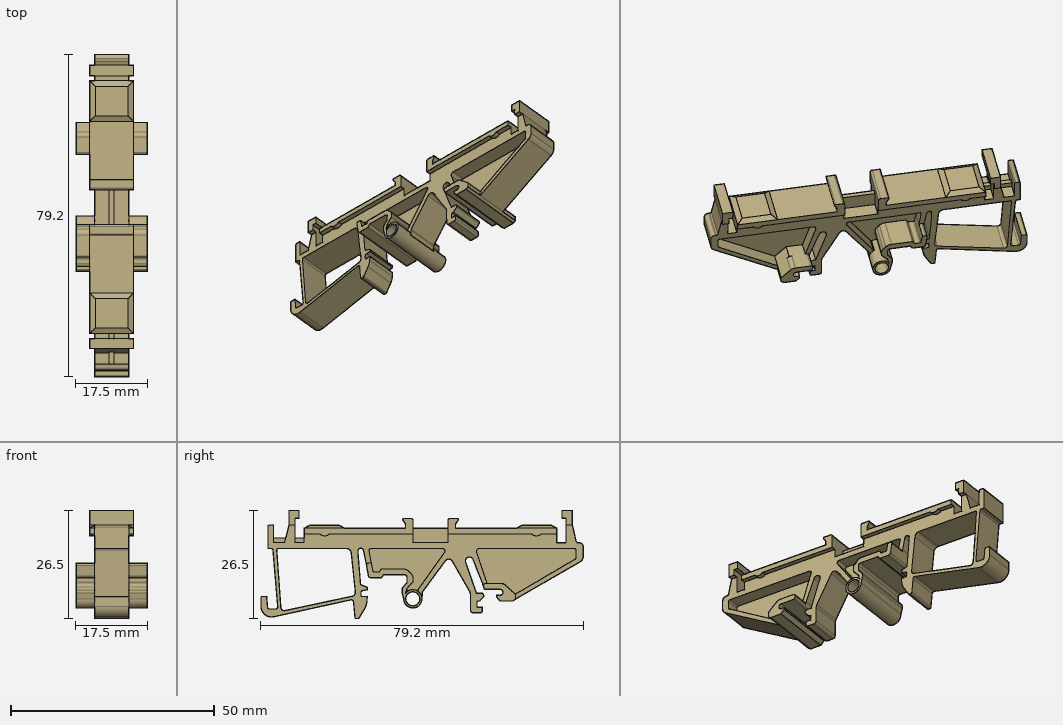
import cadquery as cq
import math


FRAME_WIDTH = 8.4
DECK_WIDTH = 10.8
FOOT_WIDTH = 17.5
WEB_THICKNESS = 1.2

BEAM_TOP = 1.45
LOW_RIB_TOP = 2.65
BAND_BOTTOM = 3.6
DECK_TOP = 5.0
PAD_TOP = 5.75
POST_STEM_TOP = 5.8
HOOK_NECK_TOP = 6.0
HOOK_TOP = 7.4
CATCH_BOTTOM = 7.4
HEAD_TOP = 9.35

GAP_HALF = 4.25
DECK_HALF = 31.05
HOOK_NECK = 6.15
HOOK_NOSE = 7.1
POST_INNER = 33.25
CATCH_REACH = 1.0
HEAD_INNER = POST_INNER - CATCH_REACH
FRONT_HEAD_OUTER = -34.75
REAR_HEAD_OUTER = 34.85
POST_FOOT_OUTER = 35.85
FRONT_WALL_INNER = -38.5
POST_FOOT_FILLET = 0.4
BEAM_FRONT = -39.95
BEAM_REAR = 37.55

PAD_LENGTH = 10.0
PAD_INSET = 1.4
BUMP_Y = 26.0
BUMP_RADIUS = 1.65
BUMP_DROP = 0.5

TUBE_Y = -4.35
TUBE_Z = -12.35
TUBE_OUTER_RADIUS = 2.25
TUBE_BORE_RADIUS = 1.7

REAR_FOOT_SHOULDER = (17.95, -8.61)
REAR_FOOT_HEEL = (20.83, -11.2)
REAR_FOOT_SHOULDER_RADIUS = 1.8

REAR_END = [
    (REAR_HEAD_OUTER, BEAM_TOP),
    (BEAM_REAR, BEAM_TOP, 1.1),
    (BEAM_REAR, -2.8, 1.7),
]
REAR_FOOT_UNDERSIDE = [
    (20.83, -12.45),
    (20.2, -12.92),
    (17.15, -12.92),
    (16.2, -11.95),
    (16.2, -11.45),
    (17.75, -11.45, 0.65),
    (17.75, -10.05, 0.65),
    (13.2, -10.05, 0.3),
    (12.75, -8.61, 0.5),
]
REAR_FOOT_BACK = [
    REAR_FOOT_SHOULDER + (REAR_FOOT_SHOULDER_RADIUS,),
    REAR_FOOT_HEEL,
]
LATCH_SLOT = [
    (10.1, -1.85, 0.9),
    (8.35, -2.5, 0.9),
]
LATCH = [
    (11.3, -10.95),
    (12.85, -10.95, 0.3),
    (13.2, -11.7, 0.3),
    (12.0, -12.92),
    (11.45, -12.92, 0.2),
    (11.45, -14.35),
    (12.75, -14.35),
    (12.75, -15.8, 0.5),
    (9.8, -15.8, 0.7),
    (9.8, -11.2),
    (9.6, -10.55),
]
NOTCH_PEAK = [(4.57, -1.78, 1.0)]
TUBE_JOINT_REAR = [
    (-2.0, -10.7, 0.3),
    (-2.05, TUBE_Z),
]
FRONT_FOOT_UNDERSIDE = [
    (TUBE_Y - TUBE_OUTER_RADIUS, TUBE_Z),
    (-7.0, -10.9),
    (-7.0, -9.75, 1.0),
    (-5.8, -8.35, 0.3),
    (-5.8, -6.45, 0.6),
    (-11.55, -6.45, 0.2),
    (-12.0, -7.18, 0.2),
    (-15.2, -7.18, 0.6),
    (-15.82, -3.6, 0.45),
]
FRONT_FOOT_BACK = [
    (-14.55, -3.6),
    (-14.1, -5.74, 0.3),
    (-12.55, -5.74, 0.2),
    (-12.1, -5.0, 0.2),
    (-5.95, -5.0, 2.0),
    (-4.3, -6.65, 1.4),
    (-4.3, -8.15, 0.3),
    (-5.75, -9.75),
]
FIN_SLOT = [
    (-16.6, 0.05, 0.55),
    (-17.75, 0.05, 0.55),
    (-17.75, -1.5),
]
FIN = [
    (-17.15, -8.85, 0.3),
    (-15.5, -9.5, 0.2),
    (-15.5, -10.15),
    (-17.05, -10.4, 0.5),
    (-17.05, -11.75, 0.3),
    (-15.5, -11.75),
    (-15.65, -13.9, 4.0),
    (-17.6, -17.2, 0.3),
    (-18.55, -17.2, 0.4),
    (-18.98, -12.5, 0.5),
]
FRONT_HOOK = [
    (-41.65, -17.47, 2.65),
    (-41.65, -11.75, 0.3),
    (-40.2, -11.75),
    (-39.95, -14.83, 0.5),
    (-37.5, -14.83, 0.5),
    (-38.75, 0.0, 0.4),
    (BEAM_FRONT, 0.0),
    (BEAM_FRONT, BEAM_TOP),
]
WINDOW = [
    (-19.6, 0.0, 1.2),
    (-37.75, 0.0, 0.4),
    (-36.65, -15.4, 0.8),
    (-18.4, -11.5, 0.9),
]
REAR_POCKET = [
    (11.0, 0.0, 0.7),
    (35.7, 0.0, 0.4),
    (35.7, -2.5, 0.3),
    REAR_FOOT_HEEL,
    REAR_FOOT_SHOULDER,
    (13.9, -8.61),
]
FRONT_POCKET = FRONT_FOOT_BACK + [
    (-5.75, -10.3),
    (-3.2, -10.3),
    (4.1, 0.0, 0.6),
    (-15.2, 0.0, 0.5),
]


def unit(start, end):
    length = math.dist(start, end)
    return ((end[0] - start[0]) / length, (end[1] - start[1]) / length)


def corner_arc(before, corner, after, radius):
    """Start, middle and end of the arc that rounds a corner, tangent to both sides."""
    to_before = unit(corner, before)
    to_after = unit(corner, after)
    cosine = to_before[0] * to_after[0] + to_before[1] * to_after[1]
    half_angle = math.acos(cosine) / 2
    setback = radius / math.tan(half_angle)
    apex_distance = radius / math.sin(half_angle) - radius
    bisector = unit((0, 0), (to_before[0] + to_after[0], to_before[1] + to_after[1]))

    def along(direction, distance):
        return (corner[0] + direction[0] * distance, corner[1] + direction[1] * distance)

    return along(to_before, setback), along(bisector, apex_distance), along(to_after, setback)


def prism(corners, width):
    """Extrude a closed YZ outline symmetrically about X = 0."""
    sketch = None
    for index, corner in enumerate(corners):
        before = corners[index - 1][:2]
        after = corners[(index + 1) % len(corners)][:2]
        arc = None
        start = corner[:2]
        if len(corner) == 3:
            arc = corner_arc(before, corner[:2], after, corner[2])
            start = arc[0]
        sketch = cq.Workplane("YZ").moveTo(*start) if sketch is None else sketch.lineTo(*start)
        if arc:
            sketch = sketch.threePointArc(arc[1], arc[2])
    return sketch.close().extrude(width / 2, both=True)


def bar(y_start, y_end, z_bottom, z_top, width):
    """Rectangular bar centred on X = 0."""
    size = (width, y_end - y_start, z_top - z_bottom)
    return cq.Workplane("XY").box(*size, centered=(True, False, False)).translate((0, y_start, z_bottom))


def rod(y, z, radius, width):
    """Round rod along X."""
    return cq.Workplane("YZ").center(y, z).circle(radius).extrude(width / 2, both=True)


def mirrored(points, side):
    return [(side * point[0],) + tuple(point[1:]) for point in points]


def frame():
    """Beam, rear arm, latch, front arm, fin and window frame as one profile."""
    outline = (
        REAR_END + REAR_FOOT_UNDERSIDE + LATCH_SLOT + LATCH + NOTCH_PEAK + TUBE_JOINT_REAR
        + FRONT_FOOT_UNDERSIDE + FIN_SLOT + FIN + FRONT_HOOK
    )
    return prism(outline, FRAME_WIDTH).cut(prism(WINDOW, FRAME_WIDTH))


def pocketed(body, pocket_outline):
    """Sink a pocket from both sides, leaving the thin web in the middle."""
    pocket = prism(pocket_outline, FRAME_WIDTH)
    web = prism(pocket_outline, WEB_THICKNESS)
    return body.cut(pocket).union(web)


def rear_foot():
    return prism(REAR_FOOT_UNDERSIDE + REAR_FOOT_BACK, FOOT_WIDTH)


def front_foot():
    strip = prism(FRONT_FOOT_UNDERSIDE + FRONT_FOOT_BACK, FOOT_WIDTH)
    return strip.union(rod(TUBE_Y, TUBE_Z, TUBE_OUTER_RADIUS, FOOT_WIDTH))


def deck_half(side):
    """Half of the deck with its hook, pad and bump; side is +1 at the rear, -1 at the front."""
    hook_and_band = [
        (GAP_HALF, BAND_BOTTOM),
        (GAP_HALF, HOOK_TOP, 0.5),
        (HOOK_NOSE, HOOK_TOP, 0.3),
        (HOOK_NECK, HOOK_NECK_TOP, 0.5),
        (HOOK_NECK, DECK_TOP),
        (DECK_HALF, DECK_TOP),
        (DECK_HALF, BAND_BOTTOM),
    ]
    band = prism(mirrored(hook_and_band, side), DECK_WIDTH)
    riser_ends = sorted((side * GAP_HALF, side * DECK_HALF))
    riser = bar(*riser_ends, BEAM_TOP, BAND_BOTTOM, FRAME_WIDTH)
    bump = rod(side * BUMP_Y, BAND_BOTTOM - BUMP_DROP + BUMP_RADIUS, BUMP_RADIUS, DECK_WIDTH)
    bump = bump.intersect(bar(-DECK_HALF, DECK_HALF, BEAM_TOP, DECK_TOP, DECK_WIDTH))
    return band.union(riser).union(bump).union(pad(side))


def pad(side):
    """Raised pad with four sloping sides at the outer end of the deck."""
    return (
        cq.Workplane("XY", origin=(0, side * (DECK_HALF - PAD_LENGTH / 2), DECK_TOP))
        .rect(DECK_WIDTH, PAD_LENGTH)
        .workplane(offset=PAD_TOP - DECK_TOP)
        .rect(DECK_WIDTH - 2 * PAD_INSET, PAD_LENGTH - 2 * PAD_INSET)
        .loft(ruled=True)
    )


def post(stem_outline, head_outline):
    return prism(stem_outline, FRAME_WIDTH).union(prism(head_outline, DECK_WIDTH))


def post_head(side, outer):
    return [
        (outer, POST_STEM_TOP),
        (outer, HEAD_TOP),
        (side * HEAD_INNER, HEAD_TOP),
        (side * HEAD_INNER, CATCH_BOTTOM),
        (side * POST_INNER, CATCH_BOTTOM),
        (side * POST_INNER, POST_STEM_TOP),
    ]


def rear_post():
    foot_end = POST_FOOT_OUTER + POST_FOOT_FILLET
    stem = [
        (POST_INNER, 0.0),
        (POST_INNER, POST_STEM_TOP),
        (REAR_HEAD_OUTER, POST_STEM_TOP),
        (POST_FOOT_OUTER, BEAM_TOP, POST_FOOT_FILLET),
        (foot_end, BEAM_TOP),
        (foot_end, 0.0),
    ]
    return post(stem, post_head(1, REAR_HEAD_OUTER))


def front_post():
    stem = [
        (-POST_INNER, BEAM_TOP),
        (-POST_INNER, POST_STEM_TOP),
        (FRONT_HEAD_OUTER, POST_STEM_TOP),
        (-POST_FOOT_OUTER, BEAM_TOP),
    ]
    return post(stem, post_head(-1, FRONT_HEAD_OUTER))


def front_wall():
    outline = [
        (FRONT_WALL_INNER, BEAM_TOP),
        (FRONT_WALL_INNER, POST_STEM_TOP, 0.3),
        (BEAM_FRONT, POST_STEM_TOP, 0.45),
        (BEAM_FRONT, BEAM_TOP),
    ]
    return prism(outline, FRAME_WIDTH)


def ribs():
    """Thin ribs standing on the beam: across the deck gap and beside the front post."""
    gap_rib = bar(-GAP_HALF, GAP_HALF, BEAM_TOP, DECK_TOP, WEB_THICKNESS)
    front_rib = bar(FRONT_WALL_INNER, -DECK_HALF, BEAM_TOP, LOW_RIB_TOP, WEB_THICKNESS)
    return gap_rib.union(front_rib)


body = pocketed(frame(), REAR_POCKET)
body = pocketed(body, FRONT_POCKET)
members = [
    rear_foot(),
    front_foot(),
    deck_half(1),
    deck_half(-1),
    rear_post(),
    front_post(),
    front_wall(),
    ribs(),
]
for member in members:
    body = body.union(member)

result = body.cut(rod(TUBE_Y, TUBE_Z, TUBE_BORE_RADIUS, FOOT_WIDTH))